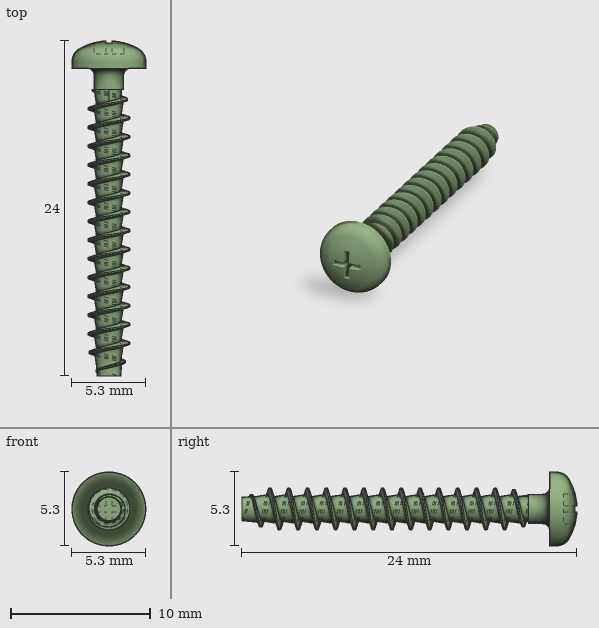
import cadquery as cq
import math

total_length = 23.97
head_height = 1.97

head_diameter = 5.3
head_radius = head_diameter / 2
dome_radius = 4.2
head_edge_radius = 1.08

slot_width = 0.43
slot_length = 2.15
slot_depth = 0.95

apex_loss = dome_radius - math.sqrt(dome_radius**2 - slot_width**2 / 2)
stem_length = total_length - head_height + apex_loss
shank_radius = 1.05
shank_length = 1.5
neck_fillet_radius = 0.5
core_radius = 0.89
tip_radius = 0.85
tip_taper_length = 0.6

pitch = 1.35
thread_diameter = 3.0
crest_radius = thread_diameter / 2
crest_width = 0.1
flank_angle = 15
flank_slope = math.tan(math.radians(flank_angle))
ramp_high_radius = 1.03
ramp_end_sink = 0.005
ramp_low_radius = core_radius - ramp_end_sink
buried_depth = 0.07
turn_gap = 0.02
sunk_radius = 0.8
tip_start_angle = 90
tip_runout_turns = 1.4
full_turns = 12.8
head_runout_turns = 1.3
head_runout_crest_radius = 1.13


def make_head():
    """Revolve the domed head, drawn as (radius, height) above its underside."""
    edge_center_radius = head_radius - head_edge_radius
    dome_center = head_height - dome_radius
    center_distance = dome_radius - head_edge_radius
    rim_height = dome_center + math.sqrt(center_distance**2 - edge_center_radius**2)
    lean = math.asin(edge_center_radius / center_distance)

    def dome_point(angle):
        return (dome_radius * math.sin(angle), dome_center + dome_radius * math.cos(angle))

    edge_angle = (lean + math.pi / 2) / 2
    edge_middle = (
        edge_center_radius + head_edge_radius * math.sin(edge_angle),
        rim_height + head_edge_radius * math.cos(edge_angle),
    )
    profile = (
        cq.Workplane("XY")
        .lineTo(head_radius, 0)
        .lineTo(head_radius, rim_height)
        .threePointArc(edge_middle, dome_point(lean))
        .threePointArc(dome_point(lean / 2), (0, head_height))
        .close()
    )
    return profile.revolve(360, (0, 0), (0, 1))


def make_cross_recess():
    """Two crossed slots sunk from the top of the dome."""
    arm = cq.Workplane("XY").box(slot_length, 2 * slot_depth, slot_width)
    cross = arm.union(arm.rotate((0, 0, 0), (0, 1, 0), 90))
    return cross.translate((0, head_height, 0))


def make_stem():
    """Revolve the filleted neck, the plain shank, the thread core and the tapered tip."""
    neck_radius = shank_radius + neck_fillet_radius
    fillet_reach = neck_fillet_radius * (1 - math.sqrt(0.5))
    profile = (
        cq.Workplane("XY")
        .lineTo(neck_radius, 0)
        .threePointArc(
            (shank_radius + fillet_reach, -fillet_reach),
            (shank_radius, -neck_fillet_radius),
        )
        .lineTo(shank_radius, -shank_length)
        .lineTo(core_radius, -shank_length)
        .lineTo(core_radius, tip_taper_length - stem_length)
        .lineTo(tip_radius, -stem_length)
        .lineTo(0, -stem_length)
        .close()
    )
    return profile.revolve(360, (0, 0), (0, 1))


def thread_profile(crest, ramp_high, ramp_low):
    """Corners (radius, offset along the axis) of one thread turn, from its three outer radii.

    A ridge with sloping flanks is followed, on its tip side, by a ramp that falls from the
    ridge foot to the next ridge. The two innermost corners lie inside the core.
    """
    inner_radius = ramp_low - buried_depth
    half_crest = crest_width / 2
    foot = half_crest + flank_slope * (crest - ramp_high)
    inner_foot = half_crest + flank_slope * (crest - inner_radius)
    ramp_end = inner_foot + turn_gap - pitch
    return [
        (inner_radius, inner_foot),
        (crest, half_crest),
        (crest, -half_crest),
        (ramp_high, -foot),
        (ramp_low, ramp_end),
        (inner_radius, ramp_end),
    ]


def helix_edge(start, end, turns):
    """Helix about Z between two profile corners that are the given turns apart."""
    rise = turns * pitch + end[1] - start[1]
    growth = end[0] - start[0]
    slant = math.hypot(rise, growth)
    if growth:
        cone_angle = math.degrees(math.atan2(growth, rise))
        helix = cq.Wire.makeHelix(slant / turns, slant, start[0], angle=cone_angle)
    else:
        helix = cq.Wire.makeHelix(rise / turns, rise, start[0])
    return helix.Edges()[0].translate(cq.Vector(0, 0, start[1]))


def polygon_face(corners):
    return cq.Face.makeFromWires(cq.Wire.makePolygon(corners, close=True))


def make_thread():
    """Right-hand thread that fades out at both ends, trimmed at the shank and at the tip."""
    tip_end = thread_profile(sunk_radius, sunk_radius, sunk_radius)
    full = thread_profile(crest_radius, ramp_high_radius, ramp_low_radius)
    head_end = thread_profile(head_runout_crest_radius, ramp_high_radius, ramp_low_radius)
    stages = [
        (tip_end, full, tip_runout_turns),
        (full, full, full_turns),
        (full, head_end, head_runout_turns),
    ]
    faces = []
    turns_done = 0
    for start, end, turns in stages:
        edges = []
        for start_corner, end_corner in zip(start, end):
            edge = helix_edge(start_corner, end_corner, turns)
            edge = edge.rotate(cq.Vector(), cq.Vector(0, 0, 1), tip_start_angle + 360 * turns_done)
            edges.append(edge.translate(cq.Vector(0, 0, turns_done * pitch)))
        if turns_done == 0:
            faces.append(polygon_face([edge.startPoint() for edge in edges]))
        faces += [cq.Face.makeRuledSurface(a, b) for a, b in zip(edges, edges[1:] + edges[:1])]
        turns_done += turns
    faces.append(polygon_face([edge.endPoint() for edge in edges]))

    thread = cq.Workplane(cq.Solid.makeSolid(cq.Shell.makeShell(faces)))
    threaded_length = stem_length - shank_length
    envelope = cq.Workplane("XY").circle(head_radius).extrude(threaded_length)
    thread = thread.intersect(envelope)
    return thread.rotate((0, 0, 0), (1, 0, 0), -90).translate((0, -stem_length, 0))


head = make_head().cut(make_cross_recess())
result = head.union(make_stem().union(make_thread()))